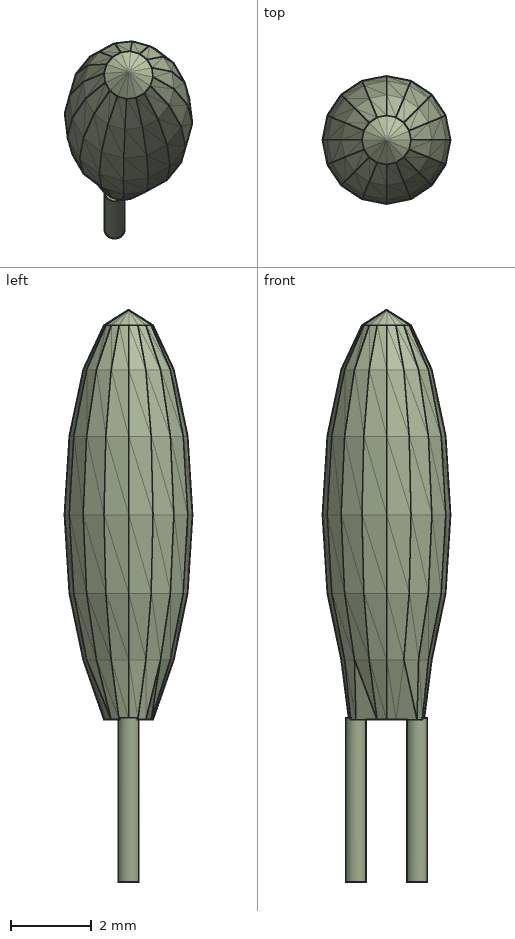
import cadquery as cq
import math

SIDES = 16
RING_STEP = 22.5
RINGS_ABOVE_MIDDLE = 3
RINGS_BELOW_MIDDLE = 2
TOTAL_HEIGHT = 14.19
MIDDLE_HEIGHT = 9.11
BULB_RADIUS = 1.59

BASE_HEIGHT = 4.03
BASE_STRETCH = 0.33

LEAD_DIAMETER = 0.51
LEAD_SPACING = 1.52
LEAD_INSERTION = 0.04


def ring_radius(latitude):
    return BULB_RADIUS * math.cos(math.radians(latitude))


def ring_corners(radius, height):
    """Corners of a regular ring, anticlockwise from +X."""
    angles = [2 * math.pi * i / SIDES for i in range(SIDES)]
    return [cq.Vector(radius * math.cos(a), radius * math.sin(a), height) for a in angles]


def latitude_ring(latitude):
    pole_height = TOTAL_HEIGHT - MIDDLE_HEIGHT
    height = MIDDLE_HEIGHT + pole_height * math.sin(math.radians(latitude))
    return ring_corners(ring_radius(latitude), height)


def base_ring():
    """Round ring with its two X ends moved apart; three corners at each Y side stay in place."""
    radius = ring_radius((RINGS_BELOW_MIDDLE + 1) * RING_STEP)
    stretch_limit = radius / 2
    corners = []
    for corner in ring_corners(radius, BASE_HEIGHT):
        if abs(corner.x) > stretch_limit:
            corner = corner + cq.Vector(math.copysign(BASE_STRETCH, corner.x), 0, 0)
        corners.append(corner)
    return corners


def flat_face(*corners):
    return cq.Face.makeFromWires(cq.Wire.makePolygon(corners, close=True))


def band_faces(upper, lower):
    """Two triangles for each side of the band between two rings."""
    faces = []
    for i in range(SIDES):
        j = (i + 1) % SIDES
        faces.append(flat_face(upper[i], lower[i], lower[j]))
        faces.append(flat_face(upper[i], lower[j], upper[j]))
    return faces


def tip_faces(ring):
    tip = cq.Vector(0, 0, TOTAL_HEIGHT)
    return [flat_face(tip, ring[i], ring[(i + 1) % SIDES]) for i in range(SIDES)]


def make_bulb():
    steps = range(RINGS_ABOVE_MIDDLE, -RINGS_BELOW_MIDDLE - 1, -1)
    rings = [latitude_ring(step * RING_STEP) for step in steps]
    rings.append(base_ring())

    faces = tip_faces(rings[0])
    for upper, lower in zip(rings, rings[1:]):
        faces += band_faces(upper, lower)
    faces.append(flat_face(*reversed(rings[-1])))
    return cq.Solid.makeSolid(cq.Shell.makeShell(faces))


def make_lead(x):
    length = BASE_HEIGHT + LEAD_INSERTION
    return cq.Workplane("XY").center(x, 0).circle(LEAD_DIAMETER / 2).extrude(length)


leads = [make_lead(side * LEAD_SPACING / 2) for side in (-1, 1)]

bulb = cq.Workplane("XY").newObject([make_bulb()])
for lead in leads:
    bulb = bulb.cut(lead, clean=False)

result = cq.Compound.makeCompound([bulb.solids().val(), *[lead.val() for lead in leads]])